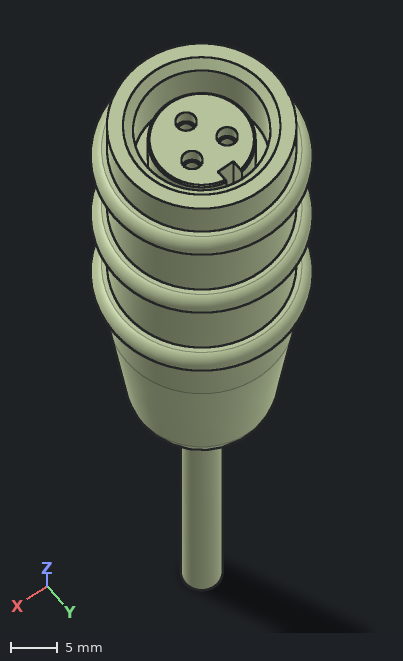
import cadquery as cq
import math

total_height = 98.0

cable_diameter = 4.5

body_diameter = 20.3
housing_length = 60.1
cylinder_length = 40.7
tail_flat_diameter = 6.1
tail_rim_diameter = 16.5
tail_round_height = 4.3

ring_diameter = 23.8
ring_height = 3.0
ring_flat_diameter = 21.5
ring_count = 3
ring_pitch = 12.7
first_ring_depth = 6.6

bore_diameter = 14.7
bore_depth = 7.8
mouth_diameter = 16.9
mouth_depth = 1.0

insert_diameter = 11.6
insert_recess = 2.9
insert_chamfer = 0.2
key_width = 2.1
key_flat_distance = 4.2

contact_count = 3
contact_circle_radius = 2.7
first_contact_angle = 30.0
contact_diameter = 1.8
contact_entry_diameter = 2.3
contact_entry_depth = 2.0
contact_depth = 5.9
drill_point_angle = 118.0

housing_bottom = total_height - housing_length
cone_top = total_height - cylinder_length
insert_top = total_height - insert_recess
bore_floor = total_height - bore_depth


def make_housing():
    """Cylinder, tapering tail and rounded tail end, turned about Z."""
    body_radius = body_diameter / 2
    tail_radius = tail_rim_diameter / 2
    tail_top = housing_bottom + tail_round_height
    profile = (
        cq.Workplane("XZ")
        .moveTo(0, total_height)
        .lineTo(body_radius, total_height)
        .lineTo(body_radius, cone_top)
        .lineTo(tail_radius, tail_top)
        .tangentArcPoint((tail_flat_diameter / 2, housing_bottom), relative=False)
        .lineTo(0, housing_bottom)
        .close()
    )
    return profile.revolve(360, (0, 0, 0), (0, 1, 0))


def make_cable():
    """Round cable running from the base plane up into the housing tail."""
    return cq.Workplane("XY").circle(cable_diameter / 2).extrude(cone_top)


def make_ring(center_height):
    """Grip ring with flat faces and one crowned outer face, turned about Z."""
    half_height = ring_height / 2
    profile = (
        cq.Workplane("XZ")
        .moveTo(0, center_height - half_height)
        .lineTo(ring_flat_diameter / 2, center_height - half_height)
        .threePointArc(
            (ring_diameter / 2, center_height),
            (ring_flat_diameter / 2, center_height + half_height),
        )
        .lineTo(0, center_height + half_height)
        .close()
    )
    return profile.revolve(360, (0, 0, 0), (0, 1, 0))


def make_socket():
    """Bore with a conical mouth, to be removed from the housing."""
    bore_radius = bore_diameter / 2
    profile = (
        cq.Workplane("XZ")
        .moveTo(0, bore_floor)
        .lineTo(bore_radius, bore_floor)
        .lineTo(bore_radius, total_height - mouth_depth)
        .lineTo(mouth_diameter / 2, total_height)
        .lineTo(0, total_height)
        .close()
    )
    return profile.revolve(360, (0, 0, 0), (0, 1, 0))


def make_insert():
    """Contact carrier with a chamfered rim and a keyway on its +Y side."""
    insert_radius = insert_diameter / 2
    carrier = (
        cq.Workplane("XY", origin=(0, 0, bore_floor))
        .circle(insert_radius)
        .extrude(insert_top - bore_floor)
        .faces(">Z")
        .chamfer(insert_chamfer)
    )
    keyway = (
        cq.Workplane("XY", origin=(0, key_flat_distance + insert_radius / 2, bore_floor))
        .rect(key_width, insert_radius)
        .extrude(insert_top - bore_floor)
    )
    return carrier.cut(keyway)


def make_contact_hole():
    """Stepped hole with a conical point, turned about Z and opening at Z = 0."""
    pilot_radius = contact_diameter / 2
    entry_radius = contact_entry_diameter / 2
    point_depth = pilot_radius / math.tan(math.radians(drill_point_angle / 2))
    profile = (
        cq.Workplane("XZ")
        .moveTo(0, -contact_depth - point_depth)
        .lineTo(pilot_radius, -contact_depth)
        .lineTo(pilot_radius, -contact_entry_depth)
        .lineTo(entry_radius, -contact_entry_depth)
        .lineTo(entry_radius, 0)
        .lineTo(0, 0)
        .close()
    )
    return profile.revolve(360, (0, 0, 0), (0, 1, 0))


result = make_housing().union(make_cable())

for index in range(ring_count):
    ring_center = total_height - first_ring_depth - index * ring_pitch
    result = result.union(make_ring(ring_center))

result = result.cut(make_socket()).union(make_insert())

contact_hole = make_contact_hole()
for index in range(contact_count):
    angle = math.radians(first_contact_angle + index * 360 / contact_count)
    x = contact_circle_radius * math.cos(angle)
    y = contact_circle_radius * math.sin(angle)
    result = result.cut(contact_hole.translate((x, y, insert_top)))